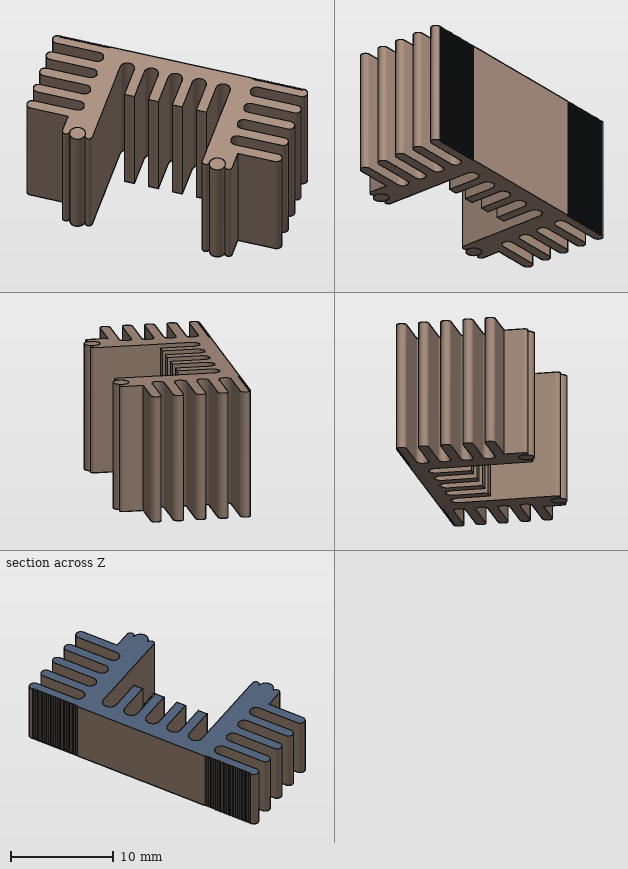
import cadquery as cq
import math


overall_width = 25.908
body_length = 12.70
pin_length = 12.71

cavity_width = 11.176
leg_thickness = 3.048
leg_depth = 12.192

side_fin_count = 5
side_fin_thickness = 1.016
side_fin_pitch = 2.2225
side_gap_root_x = 7.49

web_fin_count = 4
web_fin_thickness = 1.016
web_fin_end_depth = 5.588
web_thickness = 1.524

pin_diameter = 1.56
pin_end_depth = 12.58
lip_radius = 0.37

serration_count = 35
serration_depth = 0.127
serration_angle = 60
serration_inner_x = 7.25

back_y = pin_end_depth / 2
inner_x = cavity_width / 2
outer_x = inner_x + leg_thickness
leg_center_x = inner_x + leg_thickness / 2
lip_y = back_y - leg_depth + lip_radius
side_gap_width = side_fin_pitch - side_fin_thickness
web_gap_count = web_fin_count + 1
web_gap_width = (cavity_width - web_fin_count * web_fin_thickness) / web_gap_count
web_gap_pitch = web_gap_width + web_fin_thickness
pin_radius = pin_diameter / 2
serration_pitch = 2 * serration_depth * math.tan(math.radians(serration_angle / 2))
pin_y = back_y - pin_end_depth + pin_radius


def base_plane():
    """Workplane at the lower end of the body, which is centred on Z = 0."""
    return cq.Workplane("XY", origin=(0, 0, -body_length / 2))


def block(x_min, x_max, y_min, y_max):
    """Full-length box given by its extents in the profile plane."""
    return (
        base_plane()
        .center((x_min + x_max) / 2, (y_min + y_max) / 2)
        .rect(x_max - x_min, y_max - y_min)
        .extrude(body_length)
    )


def round_ended_bar(x_start, y_start, x_end, y_end, width):
    """Full-length bar with semicircular ends centred on the two given points."""
    length = math.hypot(x_end - x_start, y_end - y_start) + width
    angle = math.degrees(math.atan2(y_end - y_start, x_end - x_start))
    return (
        base_plane()
        .center((x_start + x_end) / 2, (y_start + y_end) / 2)
        .slot2D(length, width, angle)
        .extrude(body_length)
    )


def make_channel():
    """U-shaped body: a solid block with the cavity between the legs removed."""
    outer = block(-outer_x, outer_x, lip_y, back_y)
    cavity = block(-inner_x, inner_x, lip_y, back_y - web_fin_end_depth)
    return outer.cut(cavity)


def cut_web_gaps(body):
    """Cut the round-bottomed gaps that leave the web fins standing."""
    root_y = back_y - web_thickness - web_gap_width / 2
    mouth_y = back_y - web_fin_end_depth - web_gap_width
    for index in range(web_gap_count):
        x = (index - (web_gap_count - 1) / 2) * web_gap_pitch
        body = body.cut(round_ended_bar(x, root_y, x, mouth_y, web_gap_width))
    return body


def add_side_fins(body, side):
    """Add the round-tipped fins of one side and the round-bottomed gaps between them."""
    tip_x = side * (overall_width - side_fin_thickness) / 2
    first_fin_y = back_y - side_fin_thickness / 2
    gap_arc_x = side * (side_gap_root_x + side_gap_width / 2)
    for index in range(side_fin_count - 1):
        gap_y = first_fin_y - (index + 0.5) * side_fin_pitch
        body = body.cut(round_ended_bar(gap_arc_x, gap_y, tip_x, gap_y, side_gap_width))
    for index in range(side_fin_count):
        fin_y = first_fin_y - index * side_fin_pitch
        fin_root_x = side * leg_center_x
        body = body.union(round_ended_bar(fin_root_x, fin_y, tip_x, fin_y, side_fin_thickness))
    return body


def cut_serrations(body, side):
    """Cut one band of V-grooves into the back face, running along Z."""
    points = [(side * serration_inner_x, back_y)]
    for index in range(serration_count):
        groove_x = serration_inner_x + index * serration_pitch
        points.append((side * (groove_x + serration_pitch / 2), back_y - serration_depth))
        points.append((side * (groove_x + serration_pitch), back_y))
    band_outer_x = serration_inner_x + serration_count * serration_pitch
    points.append((side * band_outer_x, back_y + serration_depth))
    points.append((side * serration_inner_x, back_y + serration_depth))
    band = base_plane().polyline(points).close().extrude(body_length)
    return body.cut(band)


def cylinder(x, y, radius, length):
    """Cylinder along Z, centred on Z = 0."""
    return cq.Workplane("XY", origin=(x, y, -length / 2)).circle(radius).extrude(length)


def add_leg_end(body, side):
    """Finish one leg with two full-round lips and the pin held between them."""
    x = side * leg_center_x
    lip_offset = leg_thickness / 2 - lip_radius
    for lip_x in (x - lip_offset, x + lip_offset):
        body = body.union(cylinder(lip_x, lip_y, lip_radius, body_length))
    return body.union(cylinder(x, pin_y, pin_radius, pin_length))


heat_sink = cut_web_gaps(make_channel())
for side in (-1, 1):
    heat_sink = add_side_fins(heat_sink, side)
    heat_sink = cut_serrations(heat_sink, side)
    heat_sink = add_leg_end(heat_sink, side)

result = heat_sink